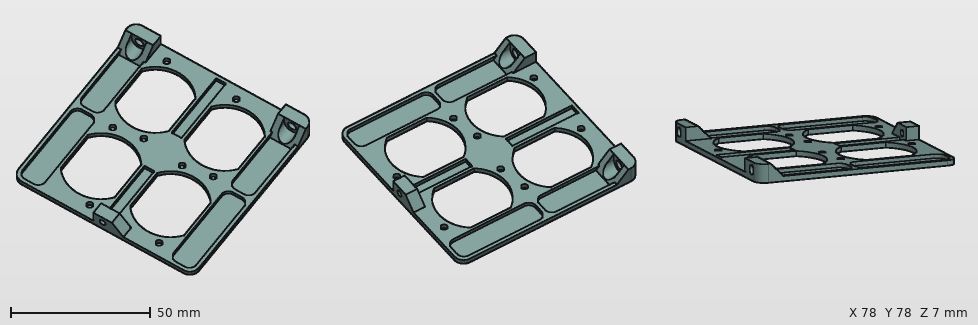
import cadquery as cq

plate_size = 78.0
plate_thickness = 2.0
corner_radius = 4.0
total_height = 7.0
half_size = plate_size / 2
block_rise = total_height - plate_thickness

opening_x = 15.0
opening_y = 17.5
opening_diameter = 29.0
opening_width = 23.2
screw_offset_x = 6.0
screw_offset_y = 16.4
screw_diameter = 2.5

edge_margin = 1.5
pocket_depth = 1.5
pocket_floor = plate_thickness - pocket_depth
pocket_outer = half_size - edge_margin
side_pocket_width = 9.7
side_pocket_radius = 3.0
side_pocket_gap = 1.5
center_slot_width = 4.25
center_slot_inner_y = 8.75

block_depth = 5.0
block_hole_z = 4.0
corner_block_width = 12.0
corner_block_x = half_size - corner_block_width / 2
corner_hole_diameter = 3.5
head_recess_width = 6.5
front_block_top_width = 8.0
front_hole_diameter = 2.5


def box(x_min, x_max, y_min, y_max, z_min, z_max):
    """Box given by its limits along each axis."""
    size = (x_max - x_min, y_max - y_min, z_max - z_min)
    return cq.Workplane("XY").box(*size, centered=False).translate((x_min, y_min, z_min))


def rounded_square(height):
    """Plate outline raised from Z = 0 to the given height."""
    square = cq.Workplane("XY").rect(plate_size, plate_size).extrude(height)
    return square.edges("|Z").fillet(corner_radius)


def cylinder_along_y(x, diameter, y_min, y_max):
    """Cylinder parallel to Y at the height of the block holes."""
    plane = cq.Plane(origin=(x, y_min, block_hole_z), xDir=(1, 0, 0), normal=(0, 1, 0))
    return cq.Workplane(plane).circle(diameter / 2).extrude(y_max - y_min)


def flattened_opening(x, y):
    """Round through-opening whose left and right sides are cut flat."""
    disc = cq.Workplane("XY").circle(opening_diameter / 2).extrude(plate_thickness)
    strip = cq.Workplane("XY").rect(opening_width, opening_diameter).extrude(plate_thickness)
    return disc.intersect(strip).translate((x, y, 0))


def screw_holes(x, y):
    """Two through-holes placed diagonally about an opening centre."""
    offsets = [
        (x - screw_offset_x, y + screw_offset_y),
        (x + screw_offset_x, y - screw_offset_y),
    ]
    holes = cq.Workplane("XY").pushPoints(offsets)
    return holes.circle(screw_diameter / 2).extrude(plate_thickness)


def side_pocket(side_x, side_y):
    """Round-cornered pocket beside the openings, in the quadrant given by the signs."""
    length = pocket_outer - side_pocket_gap / 2
    center_x = side_x * (pocket_outer - side_pocket_width / 2)
    center_y = side_y * (pocket_outer - length / 2)
    pocket = cq.Workplane("XY").rect(side_pocket_width, length).extrude(pocket_depth)
    pocket = pocket.edges("|Z").fillet(side_pocket_radius)
    return pocket.translate((center_x, center_y, pocket_floor))


def center_slot(y_min, y_max):
    """Rectangular groove on the centre line between the openings."""
    half_width = center_slot_width / 2
    return box(-half_width, half_width, y_min, y_max, pocket_floor, plate_thickness)


def corner_block(x):
    """Back corner block whose 45 degree front slope runs down to the pocket floor."""
    slope_run = total_height - pocket_floor
    top_front_y = half_size - block_depth
    profile = [
        (half_size, pocket_floor),
        (half_size, total_height),
        (top_front_y, total_height),
        (top_front_y - slope_run, pocket_floor),
    ]
    block = cq.Workplane("YZ").polyline(profile).close().extrude(corner_block_width)
    return block.translate((x - corner_block_width / 2, 0, 0))


def corner_hole(x):
    """Through-hole with a U-shaped head recess that opens upward and forward."""
    recess_back = half_size - block_depth
    recess_front = recess_back - (total_height - pocket_floor)
    half_width = head_recess_width / 2
    hole = cylinder_along_y(x, corner_hole_diameter, recess_front, half_size)
    round_bottom = cylinder_along_y(x, head_recess_width, recess_front, recess_back)
    open_top = box(
        x - half_width, x + half_width, recess_front, recess_back, block_hole_z, total_height
    )
    return hole.union(round_bottom).union(open_top)


def front_block():
    """Block at the middle of the front edge with a 45 degree slope on its +X side."""
    half_top = front_block_top_width / 2
    profile = [
        (-half_top, pocket_floor),
        (-half_top, total_height),
        (half_top, total_height),
        (half_top + block_rise, plate_thickness),
        (half_top + block_rise, pocket_floor),
    ]
    block = cq.Workplane("XZ").polyline(profile).close().extrude(block_depth)
    return block.translate((0, block_depth - half_size, 0))


plate = rounded_square(plate_thickness)

for side_x in (-1, 1):
    for side_y in (-1, 1):
        center = (side_x * opening_x, side_y * opening_y)
        plate = plate.cut(flattened_opening(*center))
        plate = plate.cut(screw_holes(*center))
        plate = plate.cut(side_pocket(side_x, side_y))

plate = plate.cut(center_slot(center_slot_inner_y, pocket_outer))
plate = plate.cut(center_slot(block_depth - half_size, -center_slot_inner_y))

blocks = front_block()
for side_x in (-1, 1):
    blocks = blocks.union(corner_block(side_x * corner_block_x))
blocks = blocks.intersect(rounded_square(total_height))

result = plate.union(blocks)
for side_x in (-1, 1):
    result = result.cut(corner_hole(side_x * corner_block_x))
result = result.cut(cylinder_along_y(0, front_hole_diameter, -half_size, block_depth - half_size))